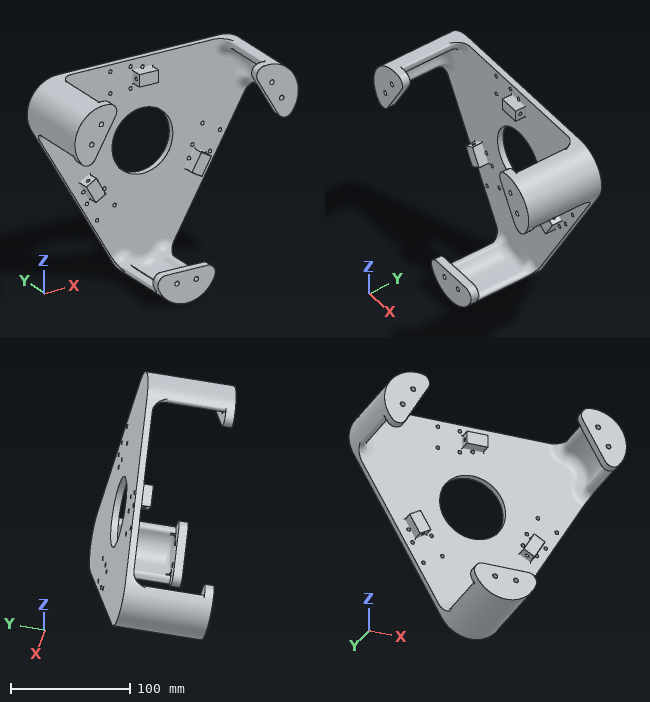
import cadquery as cq
import math

CORNER_DISTANCE = 93.0
CORNER_RADIUS = 30.0
PLATE_THICKNESS = 6.0
TOTAL_DEPTH = 76.0
BORE_RADIUS = 30.0

LEG_INNER_RADIUS = 22.0
LEG_SPREAD = 120
LEG_INNER_ROUNDING = 4.0
LEG_OUTER_ROUNDING = 2.0
LEG_ROOT_FILLET = 11.0
PAD_THICKNESS = 8.0
PAD_CORNER_RADIUS = 8.0
PAD_FILLET = 4.0
PAD_HOLE_DIAMETER = 4.2
PAD_HOLE_SPACING = 19.0
PAD_HOLE_OFFSET = 10.0

BLOCK_CENTRE = 60.25
BLOCK_LENGTH = 18.9
BLOCK_WIDTH = 11.4
BLOCK_TOP_DEPTH = 16.0
BLOCK_BORE_DIAMETER = 3.0
BLOCK_ROOT_FILLET = 0.8

PLATE_HOLE_DIAMETER = 3.2
BLOCK_HOLE_SPACING = 14.6
HOLE_SQUARE = 20.0
HOLE_SQUARE_OFFSET = 21.8

SELECTION_MARGIN = 0.1
CORNER_ANGLES = (0, 120, 240)
APEX_HALF_ANGLE = math.radians(30)
LEG_END_ANGLE = math.radians(LEG_SPREAD / 2)

INNER_ROUNDING_REACH = LEG_INNER_RADIUS + LEG_INNER_ROUNDING
INNER_ROUNDING_ANGLE = LEG_END_ANGLE - math.asin(LEG_INNER_ROUNDING / INNER_ROUNDING_REACH)
OUTER_ROUNDING_REACH = CORNER_RADIUS - LEG_OUTER_ROUNDING
OUTER_ROUNDING_ANGLE = LEG_END_ANGLE - math.asin(LEG_OUTER_ROUNDING / OUTER_ROUNDING_REACH)
PAD_FACE_DEPTH = TOTAL_DEPTH - PAD_THICKNESS
BLOCK_MID_DEPTH = (PLATE_THICKNESS + BLOCK_TOP_DEPTH) / 2


def at_depth(depth):
    """Sketch plane at a depth in front of the back face, with local axes X and Z; extrusion goes toward -Y."""
    return cq.Workplane("XZ", origin=(0, -depth, 0))


def corner_point(radius, angle):
    """Point about the lower corner arc centre, at an angle from straight outward (-Z) toward +X."""
    return (radius * math.sin(angle), -CORNER_DISTANCE - radius * math.cos(angle))


def shifted(point, distance, angle):
    """Point moved a distance along an angle measured from straight outward (-Z) toward +X."""
    return (point[0] + distance * math.sin(angle), point[1] - distance * math.cos(angle))


def mirrored(point):
    return (-point[0], point[1])


def at_three_corners(shape):
    """Three copies of a shape, turned about the plate's centre axis."""
    copies = [shape.rotate((0, 0, 0), (0, 1, 0), angle) for angle in CORNER_ANGLES]
    return copies[0].union(copies[1]).union(copies[2])


def outline_prism(depth):
    """The plate's outline extruded from the back face to a depth."""
    apex = CORNER_DISTANCE + CORNER_RADIUS / math.sin(APEX_HALF_ANGLE)
    triangle = at_depth(0).polygon(3, 2 * apex).extrude(depth)
    triangle = triangle.rotate((0, 0, 0), (0, 1, 0), 90)
    return triangle.edges("|Y").fillet(CORNER_RADIUS)


def leg_body():
    """The lower leg with its root fillet, left oversize on the outside to be trimmed by the outline."""
    end_normal = LEG_END_ANGLE + math.pi / 2
    inner_centre = corner_point(INNER_ROUNDING_REACH, INNER_ROUNDING_ANGLE)
    inner_start = corner_point(LEG_INNER_RADIUS, INNER_ROUNDING_ANGLE)
    inner_middle_angle = (INNER_ROUNDING_ANGLE + math.pi + end_normal) / 2
    outer_middle_angle = (OUTER_ROUNDING_ANGLE + end_normal) / 2
    inner_middle = shifted(inner_centre, LEG_INNER_ROUNDING, inner_middle_angle)
    inner_end = shifted(inner_centre, LEG_INNER_ROUNDING, end_normal)
    outer_centre = corner_point(OUTER_ROUNDING_REACH, OUTER_ROUNDING_ANGLE)
    outer_start = shifted(outer_centre, LEG_OUTER_ROUNDING, end_normal)
    outer_middle = shifted(outer_centre, LEG_OUTER_ROUNDING, outer_middle_angle)
    outer_end = corner_point(CORNER_RADIUS, OUTER_ROUNDING_ANGLE)
    tangent_apex = corner_point(CORNER_RADIUS / math.cos(OUTER_ROUNDING_ANGLE), 0)

    profile = (
        at_depth(PLATE_THICKNESS)
        .moveTo(*mirrored(inner_start))
        .threePointArc(corner_point(LEG_INNER_RADIUS, 0), inner_start)
        .threePointArc(inner_middle, inner_end)
        .lineTo(*outer_start)
        .threePointArc(outer_middle, outer_end)
        .lineTo(*tangent_apex)
        .lineTo(*mirrored(outer_end))
        .threePointArc(mirrored(outer_middle), mirrored(outer_start))
        .lineTo(*mirrored(inner_end))
        .threePointArc(mirrored(inner_middle), mirrored(inner_start))
        .close()
    )
    wall = profile.extrude(TOTAL_DEPTH - PLATE_THICKNESS)
    slab_reach = 3 * CORNER_RADIUS
    root_reach = 2 * CORNER_RADIUS
    slab = at_depth(0).center(0, -CORNER_DISTANCE)
    slab = slab.rect(2 * slab_reach, 2 * slab_reach).extrude(PLATE_THICKNESS)
    root = cq.selectors.BoxSelector(
        (-root_reach, -PLATE_THICKNESS - SELECTION_MARGIN, -CORNER_DISTANCE - root_reach),
        (root_reach, -PLATE_THICKNESS + SELECTION_MARGIN, -CORNER_DISTANCE),
        boundingbox=True,
    )
    return slab.union(wall).edges(root).fillet(LEG_ROOT_FILLET)


def foot_pad():
    """The lower pad: the outward half of the corner disc, with two rounded corners and two holes."""
    pad = (
        at_depth(PAD_FACE_DEPTH)
        .moveTo(-CORNER_RADIUS, -CORNER_DISTANCE)
        .threePointArc(corner_point(CORNER_RADIUS, 0), (CORNER_RADIUS, -CORNER_DISTANCE))
        .close()
        .extrude(PAD_THICKNESS)
        .edges("|Y")
        .fillet(PAD_CORNER_RADIUS)
    )
    holes = (
        at_depth(PAD_FACE_DEPTH)
        .center(0, -CORNER_DISTANCE - PAD_HOLE_OFFSET)
        .rarray(PAD_HOLE_SPACING, 1, 2, 1)
        .circle(PAD_HOLE_DIAMETER / 2)
        .extrude(PAD_THICKNESS)
    )
    return pad.cut(holes)


def pad_fillet():
    """Fillet ring between the leg's inner wall and the pad, ending level with the crests of the wall ends."""
    tip_radius = LEG_INNER_RADIUS - PAD_FILLET
    crest_z = corner_point(INNER_ROUNDING_REACH, INNER_ROUNDING_ANGLE)[1] + LEG_INNER_ROUNDING
    start_y = -PAD_FACE_DEPTH + PAD_FILLET
    diagonal = PAD_FILLET / math.sqrt(2)
    ring = (
        cq.Workplane("XY", origin=(0, 0, -CORNER_DISTANCE))
        .moveTo(LEG_INNER_RADIUS, start_y)
        .threePointArc((tip_radius + diagonal, start_y - diagonal), (tip_radius, -PAD_FACE_DEPTH))
        .lineTo(LEG_INNER_RADIUS, -PAD_FACE_DEPTH)
        .close()
        .revolve(360, (0, 0, 0), (0, 1, 0))
    )
    keep = (
        at_depth(0)
        .center(0, crest_z - CORNER_RADIUS)
        .rect(2 * CORNER_RADIUS, 2 * CORNER_RADIUS)
        .extrude(TOTAL_DEPTH)
    )
    return ring.intersect(keep)


def block():
    """Upper block on a patch of the plate, filleted at its root and bored along its length."""
    patch_half_length = BLOCK_LENGTH / 2 + 2 * BLOCK_ROOT_FILLET
    patch_half_width = BLOCK_WIDTH / 2 + 2 * BLOCK_ROOT_FILLET
    patch = (
        at_depth(0)
        .center(0, BLOCK_CENTRE)
        .rect(2 * patch_half_length, 2 * patch_half_width)
        .extrude(PLATE_THICKNESS)
    )
    body = (
        at_depth(PLATE_THICKNESS)
        .center(0, BLOCK_CENTRE)
        .rect(BLOCK_LENGTH, BLOCK_WIDTH)
        .extrude(BLOCK_TOP_DEPTH - PLATE_THICKNESS)
    )
    reach_x = BLOCK_LENGTH / 2 + BLOCK_ROOT_FILLET
    reach_z = BLOCK_WIDTH / 2 + BLOCK_ROOT_FILLET
    root = cq.selectors.BoxSelector(
        (-reach_x, -PLATE_THICKNESS - SELECTION_MARGIN, BLOCK_CENTRE - reach_z),
        (reach_x, -PLATE_THICKNESS + SELECTION_MARGIN, BLOCK_CENTRE + reach_z),
        boundingbox=True,
    )
    filleted = patch.union(body).edges(root).fillet(BLOCK_ROOT_FILLET)
    bore = (
        cq.Workplane("YZ", origin=(-BLOCK_LENGTH / 2, -BLOCK_MID_DEPTH, BLOCK_CENTRE))
        .circle(BLOCK_BORE_DIAMETER / 2)
        .extrude(BLOCK_LENGTH)
    )
    return filleted.cut(bore)


def edge_holes():
    """Holes at the upper edge: one on each long side of the block and four in a square beside it."""
    beside_block = (
        at_depth(0)
        .center(0, BLOCK_CENTRE)
        .rarray(1, BLOCK_HOLE_SPACING, 1, 2)
        .circle(PLATE_HOLE_DIAMETER / 2)
        .extrude(PLATE_THICKNESS + BLOCK_ROOT_FILLET)
    )
    square = (
        at_depth(0)
        .center(-HOLE_SQUARE_OFFSET, BLOCK_CENTRE)
        .rarray(HOLE_SQUARE, HOLE_SQUARE, 2, 2)
        .circle(PLATE_HOLE_DIAMETER / 2)
        .extrude(PLATE_THICKNESS)
    )
    return beside_block.union(square)


outline = outline_prism(TOTAL_DEPTH)
plate = outline_prism(PLATE_THICKNESS)
leg = leg_body().intersect(outline).union(foot_pad()).union(pad_fillet())
bore = at_depth(0).circle(BORE_RADIUS).extrude(PLATE_THICKNESS)

result = plate.union(at_three_corners(leg))
result = result.cut(bore)
result = result.union(at_three_corners(block()))
result = result.cut(at_three_corners(edge_holes()))